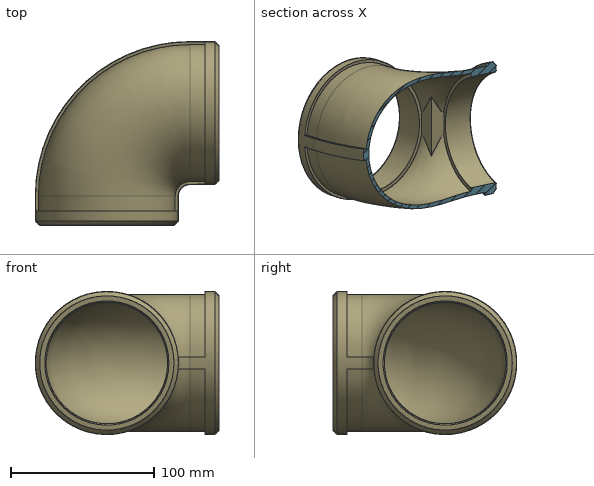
import cadquery as cq

overall = 128.5
collar_diameter = 100.0
collar_length = 10.0
collar_chamfer = 3.1
body_diameter = 96.0
straight_length = 20.6
rib_width = 8.5
bore_diameter = 85.0
bore_length = 23.1
bore_chamfer = 0.9
bend_bore_diameter = 90.0
inside_corner = 44.2

collar_radius = collar_diameter / 2
mouth_offset = overall - collar_radius
mouth_centers = {"XZ": (0, -mouth_offset, 0), "YZ": (mouth_offset, 0, 0)}
mouth_sides = {"XZ": "<Y", "YZ": ">X"}


def leg_bar(plane, diameter, length):
    """Round bar running from one mouth back into the elbow."""
    return cq.Workplane(plane, origin=mouth_centers[plane]).circle(diameter / 2).extrude(-length)


def bend_bar(diameter, end_length):
    """Quarter-torus bar that joins two straight ends of the given length."""
    bend_radius = mouth_offset - end_length
    return (
        cq.Workplane("XZ", origin=(0, -bend_radius, 0))
        .circle(diameter / 2)
        .revolve(90, (bend_radius, 0), (bend_radius, -1))
    )


def elbow_bar(diameter):
    """Solid elbow of constant diameter from mouth to mouth."""
    elbow = bend_bar(diameter, straight_length)
    for plane in mouth_centers:
        elbow = elbow.union(leg_bar(plane, diameter, straight_length))
    return elbow


def diagonal_box(start, end, height):
    """Box with opposite corners at (start, -start) and (end, -end), centred on Z = 0."""
    size = end - start
    middle = (start + end) / 2
    return cq.Workplane("XY").box(size, size, height).translate((middle, -middle, 0))


def ribbed_body():
    """Outer elbow body with a rib that stands flush with the collars."""
    rib_end = mouth_offset - collar_length
    rib_band = diagonal_box(-collar_radius, rib_end, rib_width)
    rib = elbow_bar(collar_diameter).intersect(rib_band)
    return elbow_bar(body_diameter).union(rib)


def bend_cavity():
    """Wider bore of the bend, with a square inside corner left solid."""
    square_corner = diagonal_box(inside_corner, mouth_offset, bend_bore_diameter)
    return bend_bar(bend_bore_diameter, bore_length).cut(square_corner)


def add_collar(part, plane):
    """Add the collar of one mouth and chamfer its outer edge."""
    part = part.union(leg_bar(plane, collar_diameter, collar_length))
    return part.faces(mouth_sides[plane]).edges().chamfer(collar_chamfer)


def cut_straight_bore(part, plane):
    """Cut the straight bore of one mouth and chamfer its inner edge."""
    part = part.cut(leg_bar(plane, bore_diameter, bore_length))
    bore_edge = part.faces(mouth_sides[plane]).edges(cq.selectors.RadiusNthSelector(0))
    return bore_edge.chamfer(bore_chamfer)


result = ribbed_body()
for plane in mouth_centers:
    result = add_collar(result, plane)

result = result.cut(bend_cavity())
for plane in mouth_centers:
    result = cut_straight_bore(result, plane)